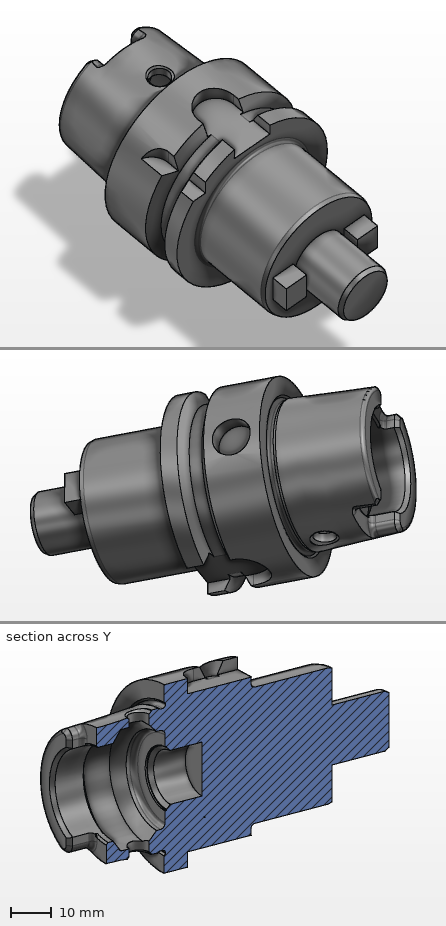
import cadquery as cq
import math

total_length = 91.9

taper_end = 22.8
taper_end_radius = 19.2
taper_slope = 1 / 20
rim_round = 1.0
neck_radius = 18.8
neck_chamfer = taper_end_radius - neck_radius
relief_outer_radius = 20.3
relief_depth = 0.5
relief_fillet = 0.9

flange_start = 24.7
flange_end = 50.8
flange_radius = 25.0
groove_centre = 42.9
groove_mouth_half = 3.5
groove_floor_half = 1.7
groove_floor_radius = 21.5

body_end = 74.9
body_radius = 18.1
body_root_fillet = 1.0
body_chamfer_length = 1.2
body_chamfer_height = 0.4
spigot_radius = 8.0
spigot_chamfer_length = 1.2
spigot_chamfer_height = 0.7
key_length = 4.9
key_width = 8.1
key_inner = 8.5
key_outer = 15.2

mouth_radius = 12.9
mouth_chamfer_height = 0.7
mouth_chamfer_length = 1.2
shoulder_start = 9.6
shoulder_length = 2.3
chamber_radius = 16.0
chamber_end = 19.6
seat_radius = 13.05
seat_fillet = 1.4
seat_floor = 25.0
tube_hole_radius = 7.1
tube_chamfer = 1.1
tube_recess_radius = 8.5
tube_recess_depth = 0.5
tube_hole_depth = 11.0

notch_half_width = 5.3
notch_straight_height = 14.0
notch_shelf_height = 16.4
notch_round = notch_shelf_height - notch_straight_height
notch_root_fillet = 1.4
notch_mouth_chamfer = 1.1
notch_floor_chamfer_size = 0.55
top_notch_depth = 4.5
bottom_notch_depth = 7.4

cross_hole_x = 17.3
cross_hole_radius = 2.9
cross_sink_radius = 3.7

keyway_start = 31.8
keyway_exit = flange_end + 0.9
keyway_floor = 20.95
top_keyway_half = 5.9
bottom_keyway_half = 7.0
corner_offset = 15.5
corner_cutter_radius = 5.6
chip_x = 32.2
chip_radius = 5.0
chip_depth = 4.5


def taper_radius(x):
    return taper_end_radius - taper_slope * (taper_end - x)


def revolve_about_x(profile):
    return profile.close().revolve(360, (0, 0, 0), (1, 0, 0))


def outer_body():
    rim_radius = taper_radius(rim_round)
    round_mid = rim_round * math.sqrt(0.5)
    relief_floor = flange_start + relief_depth
    body_root = flange_end + body_root_fillet
    profile = (
        cq.Workplane("XY")
        .lineTo(0, rim_radius - rim_round)
        .threePointArc((rim_round - round_mid, rim_radius - rim_round + round_mid), (rim_round, rim_radius))
        .lineTo(taper_end, taper_end_radius)
        .lineTo(taper_end + 2 * neck_chamfer, neck_radius)
        .lineTo(relief_floor - relief_fillet, neck_radius)
        .radiusArc((relief_floor, neck_radius + relief_fillet), -relief_fillet)
        .lineTo(flange_start, relief_outer_radius)
        .lineTo(flange_start, flange_radius)
        .lineTo(groove_centre - groove_mouth_half, flange_radius)
        .lineTo(groove_centre - groove_floor_half, groove_floor_radius)
        .lineTo(groove_centre + groove_floor_half, groove_floor_radius)
        .lineTo(groove_centre + groove_mouth_half, flange_radius)
        .lineTo(flange_end, flange_radius)
        .lineTo(flange_end, body_radius + body_root_fillet)
        .radiusArc((body_root, body_radius), -body_root_fillet)
        .lineTo(body_end - body_chamfer_length, body_radius)
        .lineTo(body_end, body_radius - body_chamfer_height)
        .lineTo(body_end, spigot_radius)
        .lineTo(total_length - spigot_chamfer_length, spigot_radius)
        .lineTo(total_length, spigot_radius - spigot_chamfer_height)
        .lineTo(total_length, 0)
    )
    return revolve_about_x(profile)


def bore():
    recess_floor = seat_floor + tube_recess_depth
    profile = (
        cq.Workplane("XY")
        .lineTo(0, mouth_radius + mouth_chamfer_height)
        .lineTo(mouth_chamfer_length, mouth_radius)
        .lineTo(shoulder_start, mouth_radius)
        .lineTo(shoulder_start + shoulder_length, chamber_radius)
        .lineTo(chamber_end, chamber_radius)
        .lineTo(chamber_end + chamber_radius - seat_radius, seat_radius)
        .lineTo(seat_floor - seat_fillet, seat_radius)
        .radiusArc((seat_floor, seat_radius - seat_fillet), seat_fillet)
        .lineTo(seat_floor, tube_recess_radius)
        .lineTo(recess_floor, tube_recess_radius)
        .lineTo(recess_floor, tube_hole_radius + tube_chamfer)
        .lineTo(recess_floor + tube_chamfer, tube_hole_radius)
        .lineTo(seat_floor + tube_hole_depth, tube_hole_radius)
        .lineTo(seat_floor + tube_hole_depth, 0)
    )
    return revolve_about_x(profile)


def notch_outline():
    """Cross-section of the upper drive notch: a slot that opens to a flat shelf over rounded corners."""
    shelf_start = notch_half_width + notch_round
    arc_offset = notch_round * (1 - math.sqrt(0.5))
    arc_mid_y = notch_half_width + arc_offset
    arc_mid_z = notch_shelf_height - arc_offset
    clear = flange_radius
    return (
        cq.Workplane("YZ")
        .moveTo(-notch_half_width, 0)
        .lineTo(notch_half_width, 0)
        .lineTo(notch_half_width, notch_straight_height)
        .threePointArc((arc_mid_y, arc_mid_z), (shelf_start, notch_shelf_height))
        .lineTo(clear, notch_shelf_height)
        .lineTo(clear, clear)
        .lineTo(-clear, clear)
        .lineTo(-clear, notch_shelf_height)
        .lineTo(-shelf_start, notch_shelf_height)
        .threePointArc((-arc_mid_y, arc_mid_z), (-notch_half_width, notch_straight_height))
        .close()
    )


def notch_floor_chamfer(depth):
    """Half-ring that breaks the edge between the bore and the floor of a notch."""
    cone = revolve_about_x(
        cq.Workplane("XY")
        .moveTo(depth, 0)
        .lineTo(depth, mouth_radius + notch_floor_chamfer_size)
        .lineTo(depth + notch_floor_chamfer_size, mouth_radius)
        .lineTo(depth + notch_floor_chamfer_size, 0)
    )
    span = cq.Workplane("XY", origin=(depth, 0, 0)).rect(
        4 * notch_floor_chamfer_size, 2 * (notch_half_width - notch_root_fillet / 2)
    ).extrude(flange_radius)
    return cone.intersect(span)


def drive_notch(depth):
    slot = notch_outline().extrude(depth).faces(">X").edges().fillet(notch_root_fillet)
    mouth = notch_outline().offset2D(notch_mouth_chamfer).extrude(notch_mouth_chamfer, taper=45)
    return slot.union(mouth).union(notch_floor_chamfer(depth))


def cross_hole():
    wall_radius = taper_radius(cross_hole_x)
    sink_depth = cross_sink_radius - cross_hole_radius
    hole = cq.Workplane("XY").center(cross_hole_x, 0).circle(cross_hole_radius).extrude(wall_radius + 0.9)
    sink = (
        cq.Workplane("XY", origin=(cross_hole_x, 0, wall_radius))
        .circle(cross_sink_radius)
        .extrude(-sink_depth, taper=45)
    )
    sink_entry = sink.faces(">Z").wires().toPending().extrude(0.9)
    return hole.union(sink).union(sink_entry)


def keyway(half_width):
    """Upper keyway with a full-round start, running out through the flange end."""
    round_centre = keyway_start + half_width
    return (
        cq.Workplane("XY", origin=(0, 0, keyway_floor))
        .moveTo(round_centre, -half_width)
        .lineTo(keyway_exit, -half_width)
        .lineTo(keyway_exit, half_width)
        .lineTo(round_centre, half_width)
        .threePointArc((keyway_start, 0), (round_centre, -half_width))
        .close()
        .extrude(flange_radius)
    )


def corner_notch():
    """Square-cornered notch on the -Y +Z side, its wall ending in the round of the cutter."""
    round_centre = keyway_start + corner_cutter_radius
    return (
        cq.Workplane("XY", origin=(0, 0, corner_offset))
        .moveTo(keyway_exit, -corner_offset)
        .lineTo(round_centre, -corner_offset)
        .radiusArc((keyway_start, -corner_offset - corner_cutter_radius), -corner_cutter_radius)
        .lineTo(keyway_start, -flange_radius)
        .lineTo(keyway_exit, -flange_radius)
        .close()
        .extrude(flange_radius)
    )


def chip_pocket():
    return (
        cq.Workplane("XZ", origin=(chip_x, flange_radius, 0))
        .circle(chip_radius)
        .extrude(chip_depth)
    )


def drive_key():
    return cq.Workplane("XY").box(
        key_length, key_outer - key_inner, key_width, centered=(False, False, True)
    ).translate((body_end, key_inner, 0))


def turned_over(shape):
    return shape.rotate((0, 0, 0), (1, 0, 0), 180)


result = (
    outer_body()
    .cut(keyway(top_keyway_half))
    .cut(turned_over(keyway(bottom_keyway_half)))
    .cut(corner_notch())
    .cut(chip_pocket())
    .cut(bore())
    .cut(drive_notch(top_notch_depth))
    .cut(turned_over(drive_notch(bottom_notch_depth)))
    .cut(cross_hole())
    .cut(turned_over(cross_hole()))
    .union(drive_key())
    .union(turned_over(drive_key()))
)